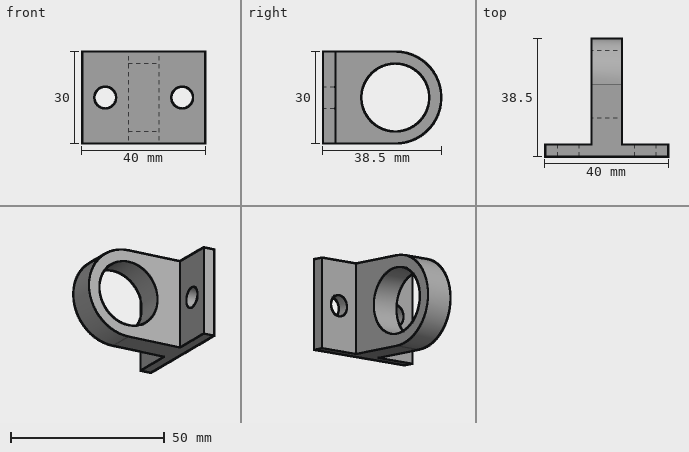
import cadquery as cq

plate_width = 40.0
plate_height = 30.0
plate_thickness = 4.0

screw_hole_diameter = 7.0
screw_hole_spacing = 25.0

arm_width = 10.0
overall_depth = 38.5
eye_radius = plate_height / 2
eye_center_y = overall_depth - eye_radius
bore_diameter = 22.0


def make_plate():
    """Flat plate with two screw holes along Y."""
    plate = cq.Workplane("XY").box(
        plate_width, plate_thickness, plate_height, centered=(True, False, True)
    )
    screw_holes = (
        cq.Workplane("XZ")
        .pushPoints([(-screw_hole_spacing / 2, 0), (screw_hole_spacing / 2, 0)])
        .circle(screw_hole_diameter / 2)
        .extrude(-plate_thickness)
    )
    return plate.cut(screw_holes)


def make_arm():
    """Arm with a rounded end and a cross bore along X, centred on the plate."""
    half_height = plate_height / 2
    arm = (
        cq.Workplane("YZ")
        .moveTo(0, -half_height)
        .lineTo(eye_center_y, -half_height)
        .threePointArc((overall_depth, 0), (eye_center_y, half_height))
        .lineTo(0, half_height)
        .close()
        .extrude(arm_width / 2, both=True)
    )
    bore = (
        cq.Workplane("YZ")
        .center(eye_center_y, 0)
        .circle(bore_diameter / 2)
        .extrude(arm_width / 2, both=True)
    )
    return arm.cut(bore)


result = make_plate().union(make_arm()).clean()